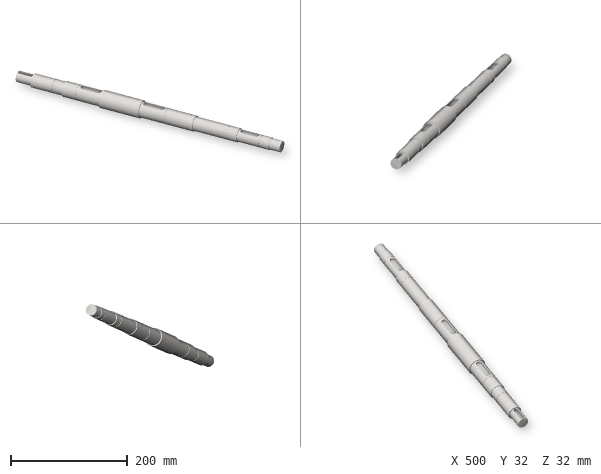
import cadquery as cq

length = 500.0
journal_diameter = 20.0
bearing_diameter = 25.0
hub_diameter = 28.0
collar_diameter = 32.0
gear_diameter = 22.0

steps = [
    (29.0, journal_diameter),
    (89.0, bearing_diameter),
    (160.0, hub_diameter),
    (235.0, collar_diameter),
    (336.0, hub_diameter),
    (419.0, bearing_diameter),
    (479.0, gear_diameter),
    (length, journal_diameter),
]

groove_width = 1.5
groove_depth = 0.6
grooves = [
    (69.5, bearing_diameter),
    (114.5, hub_diameter),
    (282.0, hub_diameter),
    (399.5, bearing_diameter),
    (461.0, gear_diameter),
]

key_width = 10.0
key_depth = 4.0
keyways = [
    (119.0, 158.0, hub_diameter),
    (238.0, 278.0, hub_diameter),
    (422.0, 457.0, gear_diameter),
]

end_wall = 0.1
end_key_start = end_wall
end_key_end = steps[0][0] - end_wall
end_key_width = 7.5
end_key_depth = 6.0

left_end = -length / 2


def cylinder(start, end, diameter):
    """Solid cylinder between two distances from the -X end."""
    plane = cq.Workplane("YZ", origin=(left_end + start, 0, 0))
    return plane.circle(diameter / 2).extrude(end - start)


def ring_groove(start, diameter):
    """Ring of material removed to leave a shallow groove."""
    end = start + groove_width
    core = cylinder(start, end, diameter - 2 * groove_depth)
    return cylinder(start, end, collar_diameter).cut(core)


def keyway(start, end, diameter, width, depth):
    """Round-ended slot cut down from the top of the shaft."""
    middle = left_end + (start + end) / 2
    floor = diameter / 2 - depth
    plane = cq.Workplane("XY", origin=(middle, 0, floor))
    return plane.slot2D(end - start, width).extrude(depth)


result = cq.Workplane("XY")
step_start = 0
for step_end, step_diameter in steps:
    result = result.union(cylinder(step_start, step_end, step_diameter))
    step_start = step_end

for groove_start, groove_shaft in grooves:
    result = result.cut(ring_groove(groove_start, groove_shaft))

for key_start, key_end, key_shaft in keyways:
    result = result.cut(keyway(key_start, key_end, key_shaft, key_width, key_depth))

result = result.cut(
    keyway(end_key_start, end_key_end, journal_diameter, end_key_width, end_key_depth)
)